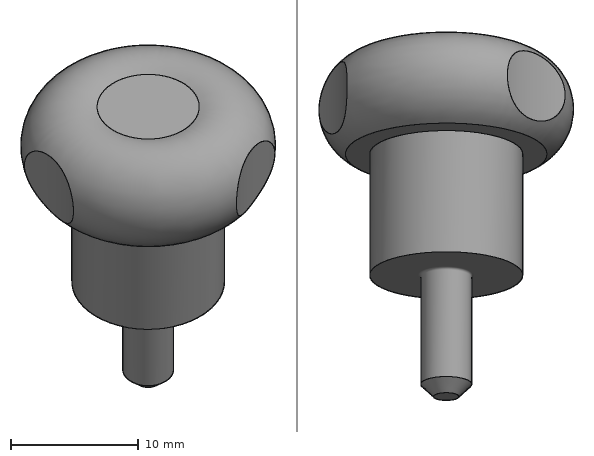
import cadquery as cq
import math

total_height = 28.0
pin_length = 10.0
stem_length = 10.0
head_bottom = pin_length + stem_length

pin_radius = 4.0 / 2
tip_chamfer = 1.0
root_fillet = 0.2

stem_radius = 12.0 / 2

head_radius = 10.0
rim_radius = 4.3
rim_center_radius = head_radius - rim_radius
rim_center_height = total_height - rim_radius
dimple_radius = 4.0

scallop_angles = (30, 150, 270)
scallop_radius = 15.0
scallop_nearest = 9.0


def make_head():
    """Revolve the rim section, flat underneath and dimpled on top."""
    bottom_drop = rim_center_height - head_bottom
    bottom_radius = rim_center_radius + math.sqrt(rim_radius**2 - bottom_drop**2)
    dimple_offset = rim_center_radius - dimple_radius
    dimple_height = rim_center_height + math.sqrt(rim_radius**2 - dimple_offset**2)
    return (
        cq.Workplane("XZ")
        .moveTo(0, head_bottom)
        .lineTo(bottom_radius, head_bottom)
        .threePointArc((head_radius, rim_center_height), (dimple_radius, dimple_height))
        .lineTo(0, dimple_height)
        .close()
        .revolve(360, (0, 0), (0, 1))
    )


def make_scallop(angle):
    """Vertical cutting cylinder beside the head, in the given direction."""
    axis_distance = scallop_nearest + scallop_radius
    center = (
        axis_distance * math.cos(math.radians(angle)),
        axis_distance * math.sin(math.radians(angle)),
    )
    return (
        cq.Workplane("XY", origin=(0, 0, head_bottom))
        .center(*center)
        .circle(scallop_radius)
        .extrude(total_height - head_bottom)
    )


head = make_head()
for scallop_angle in scallop_angles:
    head = head.cut(make_scallop(scallop_angle))

stem = cq.Workplane("XY", origin=(0, 0, pin_length)).circle(stem_radius).extrude(stem_length)

pin = cq.Workplane("XY").circle(pin_radius).extrude(pin_length).faces("<Z").chamfer(tip_chamfer)

knob = head.union(stem).union(pin)

root_box = cq.selectors.BoxSelector(
    (-stem_radius / 2, -stem_radius / 2, pin_length - root_fillet),
    (stem_radius / 2, stem_radius / 2, pin_length + root_fillet),
    boundingbox=True,
)
result = knob.edges(root_box).fillet(root_fillet)